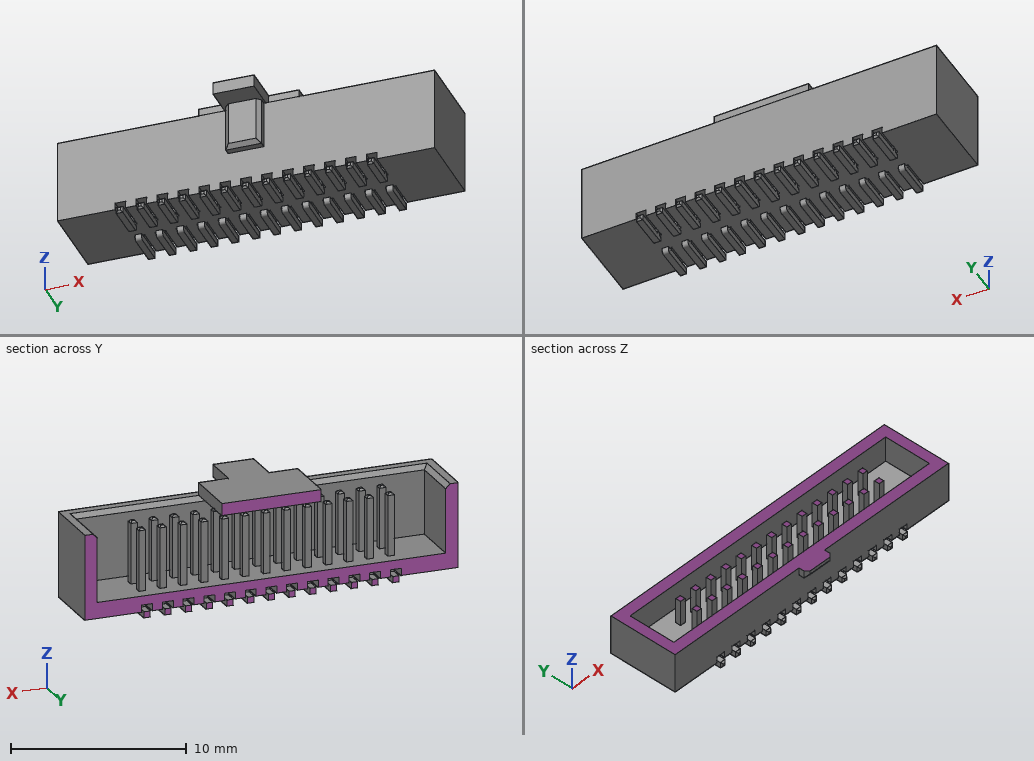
import cadquery as cq

housing_length = 22.85
housing_width = 5.0
housing_height = 5.2
end_wall = 0.5
side_wall = 0.55
floor_thickness = 1.0
rim_chamfer = 0.27

key_width = 2.17
key_height = 2.9
key_depth = 0.65
key_chamfer = 0.25

cap_thickness = 0.75
cap_length = 6.08
cap_back_y = 2.25
cap_front_y = -2.03
tab_width = 2.5
tab_center_x = -0.05
tab_front_y = -4.43

pins_per_row = 13
pitch = 1.269
pin_size = 0.4
pin_chamfer = 0.11
pin_bend_radius = 0.18
pin_drop = 0.37
pin_top_z = housing_height - 0.4
foot_end_y = -2.77

relief_width = 0.65
relief_height = 0.43

front_y = -housing_width / 2
row_y = -pitch / 2
pin_xs = [(i - (pins_per_row - 1) / 2) * pitch for i in range(pins_per_row)]


def block(x_min, x_max, y_min, y_max, z_min, z_max):
    """Box between the given limits."""
    size = (x_max - x_min, y_max - y_min, z_max - z_min)
    return cq.Workplane("XY").box(*size, centered=False).translate((x_min, y_min, z_min))


def centered_block(x_center, width, y_min, y_max, z_min, z_max):
    """Box centred on x_center, with the given Y and Z limits."""
    return block(x_center - width / 2, x_center + width / 2, y_min, y_max, z_min, z_max)


def make_housing():
    """Box with a chamfered rim around its cavity."""
    opening_length = housing_length - 2 * end_wall
    opening_width = housing_width - 2 * side_wall
    cavity_length = opening_length - 2 * rim_chamfer
    cavity_width = opening_width - 2 * rim_chamfer

    body = centered_block(0, housing_length, front_y, -front_y, 0, housing_height)
    cavity = centered_block(
        0, cavity_length, -cavity_width / 2, cavity_width / 2, floor_thickness, housing_height
    )
    rim = (
        cq.Workplane("XY")
        .workplane(offset=housing_height)
        .rect(opening_length, opening_width)
        .extrude(-rim_chamfer, taper=45)
    )
    return body.cut(cavity).cut(rim)


def make_key():
    """Front key, chamfered along the sides and bottom of its outer face."""
    key = centered_block(
        0, key_width, front_y - key_depth, front_y, housing_height - key_height, housing_height
    )
    return key.faces("<Y").edges("|Z or <Z").chamfer(key_chamfer)


def make_cap():
    """Flat plate across the opening, with its tab reaching forward."""
    top_z = housing_height + cap_thickness
    plate = centered_block(0, cap_length, cap_front_y, cap_back_y, housing_height, top_z)
    tab = centered_block(
        tab_center_x, tab_width, tab_front_y, cap_front_y, housing_height, top_z
    )
    return plate.union(tab)


def make_front_pin(x):
    """Upright contact that bends forward into a foot under the housing."""
    inner_y = row_y + pin_size / 2
    post = centered_block(x, pin_size, row_y - pin_size / 2, inner_y, -pin_drop, pin_top_z)
    post = post.faces(">Z").chamfer(pin_chamfer)
    foot = centered_block(x, pin_size, foot_end_y, inner_y, -pin_drop, pin_size - pin_drop)
    foot = foot.faces("<Y").chamfer(pin_chamfer)
    pin = post.union(foot)
    return pin.faces(">Y").edges("<Z").fillet(pin_bend_radius)


def make_front_relief(x):
    """Slot in the underside, from the front face in to the pin axis."""
    return centered_block(x, relief_width, front_y, row_y, 0, relief_height)


result = make_housing()

for x in pin_xs:
    relief = make_front_relief(x)
    result = result.cut(relief).cut(relief.mirror("XZ"))

result = result.union(make_key()).union(make_cap())

for x in pin_xs:
    pin = make_front_pin(x)
    result = result.union(pin).union(pin.mirror("XZ"))